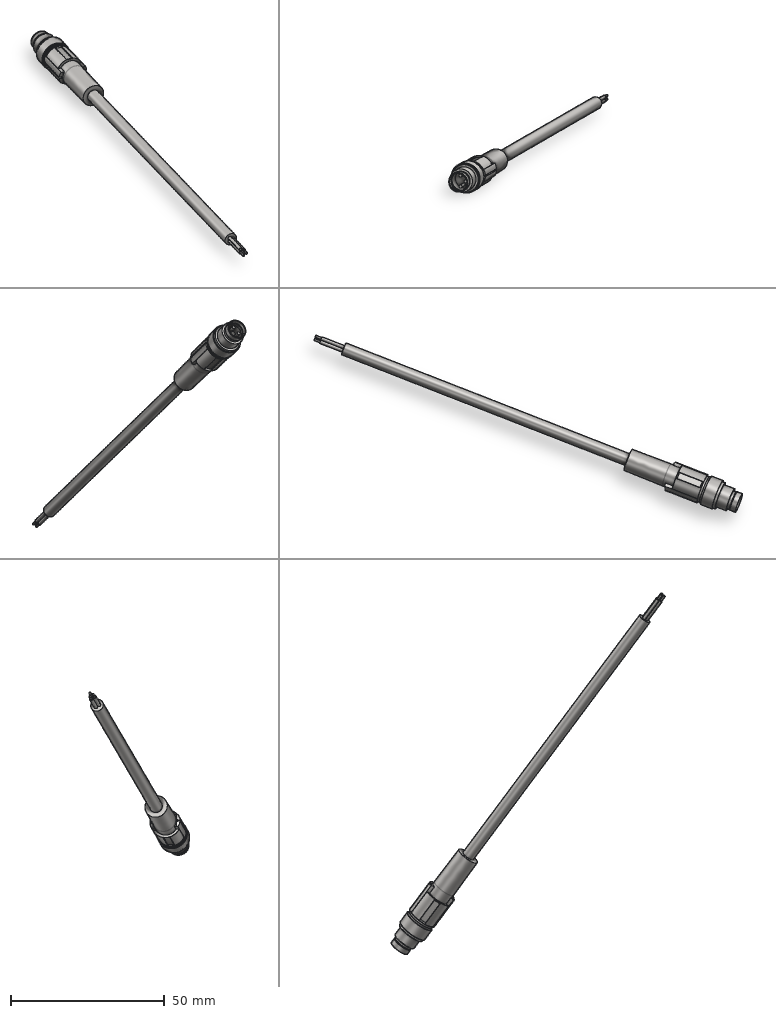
import cadquery as cq
import math

total_length = 148.7

bead_end = 1.8
bead_taper_end = 2.1
nose_end = 3.0
collar_start = 6.5
ring_start = 7.5
ring_end = 11.5
rear_collar_end = 12.0
grip_start = 12.8
grip_end = 21.7
sleeve_start = 25.3
sleeve_end = 38.8
cable_end = 138.6
insulation_end = 146.6

bead_radius = 3.3
neck_radius = 3.1
shell_radius = 3.9
collar_radius = 4.6
collar_neck_radius = 4.5
ring_diameter = 10.0
ring_radius = ring_diameter / 2
grip_radius = 4.8
sleeve_radius = 3.9
sleeve_end_radius = 3.7
cable_radius = 2.1

socket_radius = 3.0
socket_depth = 6.0
pin_radius = 0.52
pin_circle_radius = 1.8
pin_tip = 2.2
pin_centres = [(0, pin_circle_radius), (0, -pin_circle_radius), (-pin_circle_radius, 0)]

key_half_width = 2.1
key_crown_radius = 3.9
key_end = 24.4
key_taper = 0.5
key_slot_width = 0.5
key_slot_floor = 4.2

trough_width = 2.2
trough_floor = 4.2
trough_ramp = 0.5

wire_radius = 0.6
conductor_radius = 0.37
wire_circle_radius = 2 * wire_radius / math.sqrt(3)
wire_angles = [0, 120, 240]

overlap = 0.7


def rod(x_start, x_end, radius, y=0.0, z=0.0):
    """Round bar parallel to X."""
    plane = cq.Workplane("YZ", origin=(x_start, y, z))
    return plane.circle(radius).extrude(x_end - x_start)


def turned_body():
    """Nose, shell, coupling ring, grip, sleeve and cable in one revolve."""
    profile = [
        (0, 0),
        (0, bead_radius),
        (bead_end, bead_radius),
        (bead_taper_end, neck_radius),
        (nose_end, neck_radius),
        (nose_end, shell_radius),
        (collar_start, shell_radius),
        (collar_start, collar_radius),
        (ring_start, collar_radius),
        (ring_start, ring_radius),
        (ring_end, ring_radius),
        (ring_end, collar_radius),
        (rear_collar_end, collar_radius),
        (rear_collar_end, collar_neck_radius),
        (grip_start, collar_neck_radius),
        (grip_start, grip_radius),
        (grip_end, grip_radius),
        (grip_end, sleeve_radius),
        (sleeve_start, sleeve_radius),
        (sleeve_end, sleeve_end_radius),
        (sleeve_end, cable_radius),
        (cable_end, cable_radius),
        (cable_end, 0),
    ]
    return cq.Workplane("XY").polyline(profile).close().revolve(360, (0, 0, 0), (1, 0, 0))


def side_key(side):
    """Long crowned key on one side of the grip, sloping into the sleeve at its rear end."""
    outline = [
        (grip_start, 0),
        (grip_start, ring_radius),
        (key_end - key_taper, ring_radius),
        (key_end, sleeve_radius),
        (key_end, 0),
    ]
    points = [(x, side * y) for x, y in outline]
    key = cq.Workplane("XY").polyline(points).close().extrude(key_half_width, both=True)
    crown = rod(grip_start, key_end, key_crown_radius, side * (ring_radius - key_crown_radius))
    return key.intersect(crown)


def key_slot(side):
    """Thin lengthwise slot that splits a side key in two."""
    depth = ring_radius
    slot = cq.Workplane("XY").box(key_end - grip_start, depth, key_slot_width)
    return slot.translate(((grip_start + key_end) / 2, side * (key_slot_floor + depth / 2), 0))


def grip_trough(side):
    """Shallow trough with ramped ends in the top or bottom of the grip."""
    outline = [
        (grip_start, grip_radius),
        (grip_start + trough_ramp, trough_floor),
        (grip_end - trough_ramp, trough_floor),
        (grip_end, grip_radius),
    ]
    points = [(x, side * z) for x, z in outline]
    return cq.Workplane("XZ").polyline(points).close().extrude(trough_width / 2, both=True)


body = turned_body()
for side in (1, -1):
    body = body.union(side_key(side)).cut(key_slot(side)).cut(grip_trough(side))

body = body.cut(rod(0, socket_depth, socket_radius))
for y, z in pin_centres:
    body = body.union(rod(pin_tip, socket_depth + overlap, pin_radius, y, z))

for angle in wire_angles:
    y = wire_circle_radius * math.cos(math.radians(angle))
    z = wire_circle_radius * math.sin(math.radians(angle))
    body = body.union(rod(cable_end - overlap, insulation_end, wire_radius, y, z))
    body = body.union(rod(insulation_end - overlap, total_length, conductor_radius, y, z))

result = body